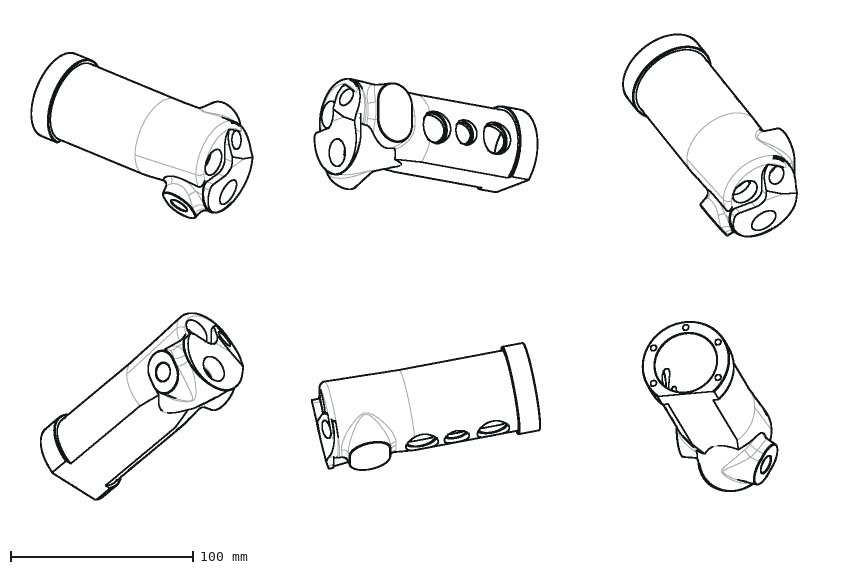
import cadquery as cq
import math

TOTAL_LENGTH = 120.0
FLANGE_RADIUS = 24.5
FLANGE_LENGTH = 12.0
FLANGE_CHAMFER = 0.4
TUBE_RADIUS = 22.5
FLAT_Z = -18.6
BORE_RADIUS = 17.5
BORE_DEPTH = 107.5
BORE_CHAMFER = 0.3

HEAD_START = 70.0
HEAD_END = 115.0
HEAD_RADIUS = 21.2
HEAD_Y = -1.2
HEAD_Z = 3.9
RIM_FILLET = 3.2

CHIN_SECTIONS = [
    (74.0, -0.3, -1.5, 16.8),
    (84.0, -1.2, -3.2, 18.2),
    (100.0, -1.5, -6.3, 20.0),
    (HEAD_END, -0.8, -9.6, 19.6),
    (122.0, -0.5, -10.6, 20.0),
]

CAP_LOWER_SLOPE = 8.8
CAP_LOWER_RADIUS = 19.7
CAP_LOWER_Z = -9.5
CAP_UPPER_POINT = (117.3, 7.5, 10.7)
CAP_UPPER_NORMAL = (1.0, 0.2, 0.3)
CAP_UPPER_EDGE = (0.0, CAP_UPPER_NORMAL[2], -CAP_UPPER_NORMAL[1])
RECESS_FLOOR_Z = -3.0
RECESS_CORNER = 6.5
RECESS_EAR_FILLET = 3.0
CAP_TOP_Z = 22.3
CAP_TOP_CORNER = 9.0
END_EYE_DIAMETER = 15.0
RECESS_EYE_YZ = (-10.5, 6.6)
CHIN_EYE_YZ = (0.0, -16.2)
UPPER_EYE_DIAMETER = 10.0
UPPER_EYE_YZ = (7.5, 10.7)
UPPER_EYE_SLOPE_Y = 4.5
UPPER_EYE_SLOPE_Z = 8.5

SCREW_DIAMETER = 3.3
SCREW_CIRCLE_RADIUS = 21.0
SCREW_DEPTH = 10.0
SCREW_POINT_ANGLE = 118.0
SCREW_ANGLES = (-30, 30, 90, 150, 210)

BUTTONS = [(26.0, 18.0, 16.0), (46.5, 14.0, 12.0), (66.0, 18.0, 16.0)]
BUTTON_SEAT_Y = 19.0

SIDE_BOSS_X = 95.7
SIDE_BOSS_FACE_Y = 24.95
SIDE_BOSS_Z = 2.9
SIDE_BOSS_WIDTH = 22.9
SIDE_BOSS_LENGTH = 33.2
SIDE_BOSS_HEIGHT = 20.0
SIDE_BOSS_FILLET = 3.5

LOW_BOSS_X = 100.0
LOW_BOSS_TILT = 30.0
LOW_BOSS_FACE_DISTANCE = 30.0
LOW_BOSS_DROP = 7.85
LOW_BOSS_WIDTH = 19.4
LOW_BOSS_LENGTH = 24.6
LOW_BOSS_HEIGHT = 22.0
LOW_BOSS_FILLET = 5.0
LOW_BOSS_HOLE_DIAMETER = 10.0
BOSS_DRAFT = 9.0
BOSS_CHAMFER = 0.35
SLOT_ANGLE = 90.0

SIDE_BOSS_PLANE = cq.Plane(
    origin=(SIDE_BOSS_X, SIDE_BOSS_FACE_Y, SIDE_BOSS_Z), xDir=(1, 0, 0), normal=(0, -1, 0)
)
TILT = math.radians(LOW_BOSS_TILT)
LOW_BOSS_PLANE = cq.Plane(
    origin=(
        LOW_BOSS_X,
        -LOW_BOSS_FACE_DISTANCE * math.cos(TILT) + LOW_BOSS_DROP * math.sin(TILT),
        -LOW_BOSS_FACE_DISTANCE * math.sin(TILT) - LOW_BOSS_DROP * math.cos(TILT),
    ),
    xDir=(1, 0, 0),
    normal=(0, math.cos(TILT), math.sin(TILT)),
)

CONTACT_TOLERANCE = 1e-3
SAMPLE_POSITION = 0.4


def yz_plane(x):
    return cq.Workplane("YZ", origin=(x, 0, 0))


def x_cylinder(x_start, length, radius, y=0.0, z=0.0):
    return yz_plane(x_start).center(y, z).circle(radius).extrude(length)


def flat_bottom_bar(length, radius):
    """Round bar along the bore axis with its bottom cut off at FLAT_Z."""
    half_chord = math.sqrt(radius**2 - FLAT_Z**2)
    return (
        yz_plane(0)
        .moveTo(half_chord, FLAT_Z)
        .threePointArc((0, radius), (-half_chord, FLAT_Z))
        .close()
        .extrude(length)
    )


def slot_boss(face_plane, width, length, height):
    """Drafted boss with a slot-shaped face; the plane lies on the face and points inward."""
    spread = 2 * height * math.tan(math.radians(BOSS_DRAFT))
    return (
        cq.Workplane(face_plane)
        .slot2D(length, width, SLOT_ANGLE)
        .workplane(offset=height)
        .slot2D(length + spread, width + spread, SLOT_ANGLE)
        .loft(ruled=True)
    )


def join_with_fillet(base, boss, face_plane, radius):
    """Join a boss, chamfered around its face, and round the edges where it crosses the base."""
    boss = boss.faces(cq.NearestToPointSelector(face_plane.origin.toTuple())).chamfer(BOSS_CHAMFER)
    joined = base.union(boss)
    skins = [base.val().Shells()[0], boss.val().Shells()[0]]
    crossing = []
    for edge in joined.edges().vals():
        point = cq.Vertex.makeVertex(*edge.positionAt(SAMPLE_POSITION).toTuple())
        if all(skin.distance(point) < CONTACT_TOLERANCE for skin in skins):
            crossing.append(edge)
    return joined.newObject(crossing).fillet(radius)


def make_tube():
    flange = flat_bottom_bar(FLANGE_LENGTH, FLANGE_RADIUS).edges("%CIRCLE")
    flange = flange.chamfer(FLANGE_CHAMFER)
    return flange.union(flat_bottom_bar(HEAD_START, TUBE_RADIUS))


def ring(x, radius, y, z):
    """Circle in a YZ plane whose seam lies on the -Y side."""
    plane = cq.Plane(origin=(x, y, z), xDir=(0, -1, 0), normal=(1, 0, 0))
    return cq.Workplane(plane).circle(radius).wires().val()


def make_head():
    start = ring(HEAD_START, TUBE_RADIUS, 0, 0)
    end = ring(HEAD_END, HEAD_RADIUS, HEAD_Y, HEAD_Z)
    head = cq.Workplane(cq.Solid.makeLoft([start, end], True))
    head = head.faces(">X").edges().fillet(RIM_FILLET)
    below_flat = (
        cq.Workplane("XY", origin=(HEAD_START, 0, FLAT_Z))
        .rect(TOTAL_LENGTH, TOTAL_LENGTH)
        .extrude(-TUBE_RADIUS)
    )
    return head.cut(below_flat)


def make_chin():
    """Bulge below the head, carrying the tilted boss and cut square at the head end."""
    rings = [ring(x, radius, y, z) for x, y, z, radius in CHIN_SECTIONS]
    chin = cq.Workplane(cq.Solid.makeLoft(rings))
    boss = slot_boss(LOW_BOSS_PLANE, LOW_BOSS_WIDTH, LOW_BOSS_LENGTH, LOW_BOSS_HEIGHT)
    chin = join_with_fillet(chin, boss, LOW_BOSS_PLANE, LOW_BOSS_FILLET)
    beyond_head = x_cylinder(HEAD_END, TOTAL_LENGTH, TOTAL_LENGTH)
    return chin.cut(beyond_head)


def make_cap_envelope(start_x):
    """Space behind the two sloped end faces."""
    reach = 2 * FLANGE_RADIUS
    bottom_x = TOTAL_LENGTH - reach * math.tan(math.radians(CAP_LOWER_SLOPE))
    behind_lower_slope = (
        cq.Workplane("XZ", origin=(0, reach, 0))
        .polyline(
            [
                (start_x, -reach),
                (bottom_x, -reach),
                (TOTAL_LENGTH, 0),
                (TOTAL_LENGTH, reach),
                (start_x, reach),
            ]
        )
        .close()
        .extrude(2 * reach)
    )
    upper_plane = cq.Plane(origin=CAP_UPPER_POINT, xDir=CAP_UPPER_EDGE, normal=CAP_UPPER_NORMAL)
    beyond_upper_slope = cq.Workplane(upper_plane).rect(2 * reach, 2 * reach).extrude(reach)
    return behind_lower_slope.cut(beyond_upper_slope)


def make_cap():
    """Cap on the head end; its low -Y corner is rounded into an ear beside the recess."""
    start_x = HEAD_END - RIM_FILLET
    length = TOTAL_LENGTH - start_x
    cap_length = TOTAL_LENGTH - HEAD_END
    block_height = CAP_TOP_Z - CAP_LOWER_Z
    upper_block = (
        yz_plane(start_x)
        .center(FLANGE_RADIUS / 2, CAP_LOWER_Z + block_height / 2)
        .rect(FLANGE_RADIUS, block_height)
        .extrude(length)
        .edges("|X and <Y and >Z")
        .fillet(CAP_TOP_CORNER)
    )
    upper = x_cylinder(start_x, length, HEAD_RADIUS, HEAD_Y, HEAD_Z).intersect(upper_block)
    lower = x_cylinder(HEAD_END, cap_length, CAP_LOWER_RADIUS, 0, CAP_LOWER_Z)
    middle_height = HEAD_Z - CAP_LOWER_Z
    middle = (
        yz_plane(HEAD_END)
        .center(CAP_LOWER_RADIUS / 2, CAP_LOWER_Z + middle_height / 2)
        .rect(CAP_LOWER_RADIUS, middle_height)
        .extrude(cap_length)
    )
    reach = 2 * FLANGE_RADIUS
    recess = (
        yz_plane(start_x)
        .center(-reach / 2, RECESS_FLOOR_Z + reach / 2)
        .rect(reach, reach)
        .extrude(length)
        .edges("|X and >Y and <Z")
        .fillet(RECESS_CORNER)
    )
    cap = upper.union(lower).union(middle).cut(recess)
    ear_y = -math.sqrt(CAP_LOWER_RADIUS**2 - (RECESS_FLOOR_Z - CAP_LOWER_Z) ** 2)
    ear = cq.NearestToPointSelector((HEAD_END + cap_length / 2, ear_y, RECESS_FLOOR_Z))
    cap = cap.edges(ear).fillet(RECESS_EAR_FILLET)
    return cap.intersect(make_cap_envelope(start_x))


def make_screw_holes():
    radius = SCREW_DIAMETER / 2
    tip = radius / math.tan(math.radians(SCREW_POINT_ANGLE / 2))
    hole = (
        cq.Workplane("XY")
        .polyline([(0, 0), (SCREW_DEPTH + tip, 0), (SCREW_DEPTH, radius), (0, radius)])
        .close()
        .revolve(360, (0, 0, 0), (1, 0, 0))
        .translate((0, SCREW_CIRCLE_RADIUS, 0))
    )
    holes = cq.Workplane()
    for angle in SCREW_ANGLES:
        holes = holes.add(hole.rotate((0, 0, 0), (1, 0, 0), angle))
    return holes.combine()


def make_button_holes():
    holes = cq.Workplane()
    for x, seat_diameter, hole_diameter in BUTTONS:
        hole = cq.Workplane("XZ", origin=(x, 0, 0)).circle(hole_diameter / 2).extrude(-2 * TUBE_RADIUS)
        seat = (
            cq.Workplane("XZ", origin=(x, BUTTON_SEAT_Y, 0))
            .circle(seat_diameter / 2)
            .extrude(-TUBE_RADIUS)
        )
        holes = holes.add(hole).add(seat)
    return holes.combine()


def end_hole(centre_yz, diameter, slope_y, slope_z):
    """Hole through the end wall; slopes are degrees of drift in Y and Z along +X."""
    y, z = centre_yz
    direction = (1, math.tan(math.radians(slope_y)), math.tan(math.radians(slope_z)))
    plane = cq.Plane(origin=(BORE_DEPTH, y, z), xDir=(0, 1, 0), normal=direction)
    return cq.Workplane(plane).circle(diameter / 2).extrude(TUBE_RADIUS, both=True)


def make_bore():
    bore = x_cylinder(0, BORE_DEPTH, BORE_RADIUS)
    mouth = cq.Solid.makeCone(
        BORE_RADIUS + BORE_CHAMFER, BORE_RADIUS, BORE_CHAMFER, cq.Vector(), cq.Vector(1, 0, 0)
    )
    return bore.union(cq.Workplane(mouth))


def make_low_boss_hole():
    radius = LOW_BOSS_HOLE_DIAMETER / 2
    hole = cq.Workplane(LOW_BOSS_PLANE).circle(radius).extrude(LOW_BOSS_HEIGHT)
    mouth = cq.Solid.makeCone(
        radius + BOSS_CHAMFER, radius, BOSS_CHAMFER, LOW_BOSS_PLANE.origin, LOW_BOSS_PLANE.zDir
    )
    return hole.union(cq.Workplane(mouth))


side_boss = slot_boss(SIDE_BOSS_PLANE, SIDE_BOSS_WIDTH, SIDE_BOSS_LENGTH, SIDE_BOSS_HEIGHT)

body = join_with_fillet(make_head(), side_boss, SIDE_BOSS_PLANE, SIDE_BOSS_FILLET)
body = body.union(make_chin())
body = body.union(make_tube()).union(make_cap())
body = body.cut(make_bore())
body = body.cut(end_hole(RECESS_EYE_YZ, END_EYE_DIAMETER, 0, 0))
body = body.cut(end_hole(CHIN_EYE_YZ, END_EYE_DIAMETER, 0, -CAP_LOWER_SLOPE))
body = body.cut(end_hole(UPPER_EYE_YZ, UPPER_EYE_DIAMETER, UPPER_EYE_SLOPE_Y, UPPER_EYE_SLOPE_Z))
body = body.cut(make_low_boss_hole())
body = body.cut(make_button_holes())
result = body.cut(make_screw_holes())